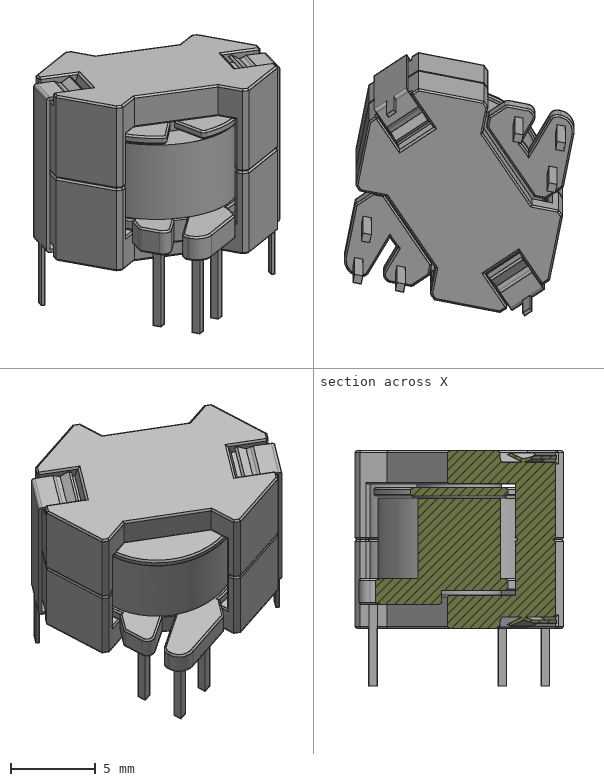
import cadquery as cq
import math


core_height = 10.5
core_half_width = 6.15
mid_height = core_height / 2
core_chamfer = 0.11
end_reach = 6.94
block_corner_cut = 0.29
notch_edge = 0.57
web_half_width = 3.41
window_floor = 1.97
window_half_length = 3.48
window_chamfer = 0.1
bore_radius = 5.27
centre_leg_radius = 2.5

recess_depth = 0.68
recess_width = 2.4
recess_inner = 4.47
recess_draft = 0.22

flange_radius = 5.04
flange_chamfer = 0.11
base_top = 2.95
lower_flange_bottom = 2.23
winding_top = 7.69
winding_radius = 9.59 / 2
tube_radius = 5.5 / 2
upper_flange_bottom = 7.8
upper_flange_top = 8.31
flange_cut_apex = 1.74
flange_cut_half_angle = 25.0
flange_cut_round = 0.28

pad_bottom = 1.42
pad_half_width = 5.91
pad_side = 0.79
pad_corner_cut = 0.89
pad_inner = 3.64
pad_chamfer = 0.11
slot_width = 0.74
slot_angle = -70.7
slot_point = (3.35, -3.86)
outer_corner_round = 1.0
slot_corner_round = 0.5
small_corner_round = 0.25

pin_size = 0.5
pin_near = 2.54
pin_far = 2 * pin_near
pin_bottom = -3.39

clip_width = 2.28
clip_thickness = 0.21
clip_bend_radius = 0.21
clip_outer = 7.3
clip_inner = clip_outer - clip_thickness
clip_top = core_height - 0.3
clip_pin_width = 0.51
clip_flat_inner = 6.01
clip_easing = (5.85, 10.1)
clip_valley = 5.58
clip_crest = 5.05
clip_crest_top = 10.35
clip_tip = 4.9
clip_foot = 0.14

ROOT2 = math.sqrt(2)


def half_turn(shape):
    return shape.rotate((0, 0, 0), (0, 0, 1), 180)


def onto_diagonal(shape):
    """Turn the X axis onto the long diagonal of the core."""
    return shape.rotate((0, 0, 0), (0, 0, 1), 45)


def cylinder(radius, bottom, top):
    return cq.Workplane("XY").workplane(offset=bottom).circle(radius).extrude(top - bottom)


def box(x_range, y_range, z_range):
    sizes = [high - low for low, high in (x_range, y_range, z_range)]
    corner = (x_range[0], y_range[0], z_range[0])
    return cq.Workplane("XY").box(*sizes, centered=False).translate(corner)


def core_outline():
    w = core_half_width
    n = notch_edge
    notch_depth = ROOT2 * web_half_width - n
    end_corner = ROOT2 * end_reach - w
    cut = block_corner_cut
    half = [
        (-w, -end_corner), (-end_corner, -w),
        (n - cut, -w), (n, -w + cut), (n, -notch_depth),
        (notch_depth, -n), (w - cut, -n), (w, -n + cut),
    ]
    return half + [(-x, -y) for x, y in half]


def clip_recess():
    """Open-ended pocket in the top face with a leaning back wall."""
    floor = core_height - recess_depth
    profile = [
        (recess_inner, core_height), (recess_inner + recess_draft, floor),
        (clip_outer, floor), (clip_outer, core_height),
    ]
    pocket = cq.Workplane("XZ").polyline(profile).close().extrude(recess_width / 2, both=True)
    return onto_diagonal(pocket)


def recess_mouth_edges(body):
    """Edges where the two recesses open through the flat ends of the core."""
    floor = core_height - recess_depth
    middle = core_height - recess_depth / 2
    edges = []
    for end in (-end_reach, end_reach):
        for across, height in ((0, floor), (-recess_width / 2, middle), (recess_width / 2, middle)):
            point = ((end - across) / ROOT2, (end + across) / ROOT2, height)
            edges += body.edges(cq.selectors.NearestToPointSelector(point)).vals()
    return edges


def upper_core_half():
    body = (cq.Workplane("XY").workplane(offset=mid_height)
            .polyline(core_outline()).close().extrude(core_height - mid_height))
    ceiling = core_height - window_floor
    window = onto_diagonal(box(
        (-window_half_length, window_half_length),
        (-core_half_width, core_half_width),
        (mid_height, ceiling)))
    body = body.cut(window).cut(cylinder(bore_radius, mid_height, ceiling))
    recess = clip_recess()
    body = body.cut(recess).cut(half_turn(recess))
    body = body.faces(">Z or <Z").edges().add(recess_mouth_edges(body)).chamfer(core_chamfer)
    for side in (-1, 1):
        web_middle = side * web_half_width / ROOT2
        block_edge = side * notch_edge
        block_middle = side * (bore_radius + ROOT2 * web_half_width - notch_edge) / 2
        lintel = [(web_middle, -web_middle), (block_middle, -block_edge), (block_edge, -block_middle)]
        chosen = [cq.selectors.NearestToPointSelector((x, y, ceiling)) for x, y in lintel]
        body = body.edges(chosen[0] + chosen[1] + chosen[2]).chamfer(window_chamfer)
    return body.union(cylinder(centre_leg_radius, mid_height, ceiling))


def core():
    upper = upper_core_half()
    lower = upper.mirror("XY", (0, 0, mid_height))
    return upper.union(lower)


def upper_flange():
    spread = math.radians(flange_cut_half_angle)
    reach = 2 * flange_radius
    tip = (flange_cut_apex, -flange_cut_apex)
    sides = [(tip[0] + reach * math.cos(a), tip[1] + reach * math.sin(a))
             for a in (-math.pi / 4 - spread, -math.pi / 4 + spread)]
    wedge = (cq.Workplane("XY").workplane(offset=upper_flange_bottom)
             .polyline([tip] + sides).close().extrude(upper_flange_top - upper_flange_bottom))
    flange = cylinder(flange_radius, upper_flange_bottom, upper_flange_top).cut(wedge)
    rim_corners = cq.selectors.BoxSelector(
        (flange_cut_apex, -flange_radius, upper_flange_bottom),
        (flange_radius, -flange_cut_apex, upper_flange_top)) - cq.selectors.NearestToPointSelector(
        (*tip, (upper_flange_bottom + upper_flange_top) / 2))
    flange = flange.edges("|Z").edges(rim_corners).fillet(flange_cut_round)
    return flange.faces(">Z or <Z").edges().chamfer(flange_chamfer)


def pad_slot():
    length = core_half_width
    slot = box((-length, length), (-slot_width / 2, slot_width / 2), (pad_bottom, base_top))
    slot = slot.rotate((0, 0, 0), (0, 0, 1), slot_angle).translate((*slot_point, 0))
    inboard = cylinder(winding_radius, pad_bottom, base_top)
    outboard = onto_diagonal(box((-length, length), (-2 * length, 0), (pad_bottom, base_top)))
    return slot.intersect(outboard.cut(inboard))


def slot_corner(side):
    """X where one slot wall meets the outer pad face."""
    slope = math.radians(slot_angle)
    rise = -pad_half_width - slot_point[1]
    centre = slot_point[0] + rise / math.tan(slope)
    return centre + side * slot_width / (2 * abs(math.sin(slope)))


def pad_pair():
    w = pad_half_width
    start = w - pad_corner_cut
    inner = ROOT2 * pad_inner - pad_side
    outline = [
        (pad_side, -inner), (pad_side, -start), (pad_side + pad_corner_cut, -w), (w, -w),
        (w, -pad_side - pad_corner_cut), (start, -pad_side), (inner, -pad_side),
    ]
    pads = (cq.Workplane("XY").workplane(offset=pad_bottom)
            .polyline(outline).close().extrude(base_top - pad_bottom))
    pads = pads.cut(pad_slot())

    rounds = [
        (w, -w, outer_corner_round),
        (slot_corner(-1), -w, slot_corner_round),
        (slot_corner(1), -w, slot_corner_round),
        (pad_side + pad_corner_cut, -w, small_corner_round),
        (w, -pad_side - pad_corner_cut, small_corner_round),
    ]
    pad_middle = (pad_bottom + base_top) / 2
    for x, y, radius in rounds:
        corner = cq.selectors.NearestToPointSelector((x, y, pad_middle))
        pads = pads.edges("|Z").edges(corner).fillet(radius)
    return pads.faces(">Z or <Z").edges().chamfer(pad_chamfer)


def pin(x, y):
    half = pin_size / 2
    return box((x - half, x + half), (y - half, y + half), (pin_bottom, pad_bottom + pad_chamfer))


def bobbin():
    lower_flange = cylinder(flange_radius, lower_flange_bottom, base_top)
    slot = pad_slot()
    lower_flange = lower_flange.cut(slot).cut(half_turn(slot))
    lower_flange = lower_flange.faces(">Z or <Z").edges().chamfer(flange_chamfer)
    body = cylinder(tube_radius, lower_flange_bottom, upper_flange_top)
    body = body.union(lower_flange).union(upper_flange())
    body = body.union(cylinder(winding_radius, base_top, winding_top))
    side = pad_pair()
    for x, y in ((pin_near, -pin_far), (pin_far, -pin_far), (pin_far, -pin_near)):
        side = side.union(pin(x, y))
    return body.union(side).union(half_turn(side))


def clip_hook():
    """Upper half of a clip: wall, bend and sprung tongue resting on the recess floor."""
    t = clip_thickness
    foot = clip_foot / 2
    valley_top = core_height - recess_depth + t
    upper_side = [
        (clip_outer, clip_top), (clip_flat_inner, clip_top), clip_easing,
        (clip_valley, valley_top), (clip_crest, clip_crest_top), (clip_tip, clip_crest_top - t / 2),
    ]
    lower_side = [
        (clip_crest, clip_crest_top - t),
        (clip_valley - foot, valley_top - t), (clip_valley + foot, valley_top - t),
        (clip_flat_inner, clip_top - t), (clip_inner, clip_top - t),
    ]
    wall = [(clip_inner, mid_height), (clip_outer, mid_height)]
    hook = (cq.Workplane("XZ").polyline(upper_side + lower_side + wall).close()
            .extrude(clip_width / 2, both=True))
    bend = cq.selectors.NearestToPointSelector((clip_outer, 0, clip_top))
    return hook.edges("|Y").edges(bend).fillet(clip_bend_radius)


def clip():
    hook = clip_hook()
    half_pin = clip_pin_width / 2
    earth_pin = box((clip_inner, clip_outer), (-half_pin, half_pin),
                    (pin_bottom, mid_height))
    whole = hook.union(hook.mirror("XY", (0, 0, mid_height))).union(earth_pin)
    return onto_diagonal(whole)


spring_clip = clip()
result = core().union(bobbin()).union(spring_clip).union(half_turn(spring_clip))